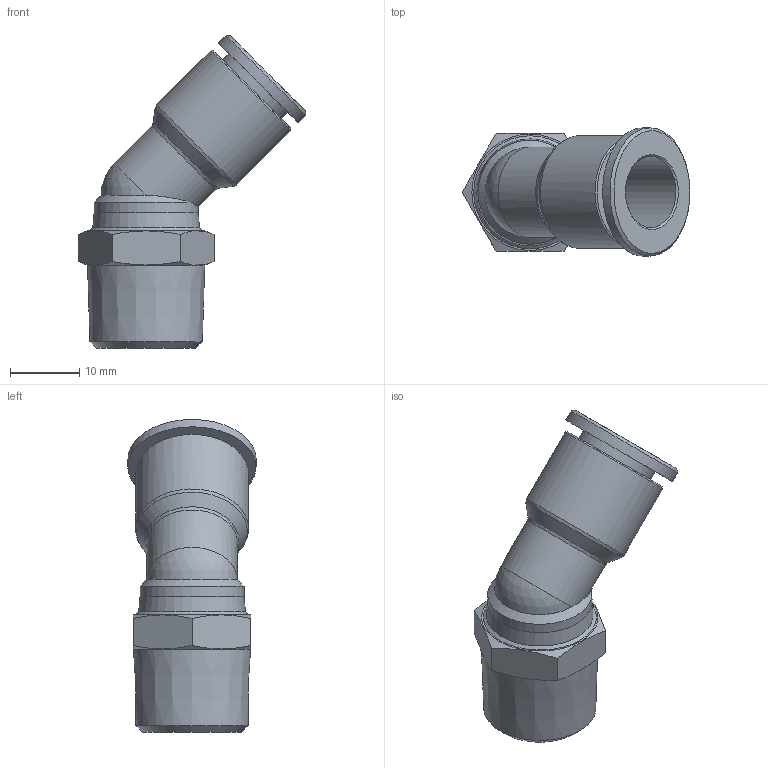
import cadquery as cq
import math

NUT_BOTTOM = 12.0
NUT_TOP = 17.0
ELBOW_HEIGHT = 22.1

STEM_TOP_DIAMETER = 16.9
STEM_TAPER = 1 / 16
STEM_CHAMFER = 1.0

NUT_FLATS = 17.0
NUT_CHAMFER_DROP = 0.55
NUT_TOP_RADIUS = 8.4
NUT_BOTTOM_RADIUS = 8.4

COLLAR_BASE_RADIUS = 8.15
COLLAR_BEVEL_RADIUS = 7.7
COLLAR_BEVEL_HEIGHT = 0.4
COLLAR_RADIUS = 7.5
COLLAR_CONE_TOP = 19.6
COLLAR_CHAMFER = 1.0

BRANCH_ANGLE = 45.0
PIPE_RADIUS = 6.5
SOCKET_RADIUS = 8.15
SHOULDER_START = 7.9
SHOULDER_END = 10.0
SHOULDER_FILLET = 0.8
SOCKET_END = 21.6
SOCKET_EDGE_CHAMFER = 0.2

COLLET_RADIUS = 6.0
FLANGE_START = 22.95
FLANGE_END = 24.85
FLANGE_LENGTH = 18.5
FLANGE_WIDTH = 16.3
FLANGE_CHAMFER = 0.4

BORE_RADIUS = 5.15
BORE_CHAMFER = 0.25
BORE_BOTTOM = SHOULDER_END


def turned(profile):
    """Revolve a closed list of (radius, height) points about Z."""
    return cq.Workplane("XZ").polyline(profile).close().revolve(360, (0, 0), (0, 1))


def make_stem():
    bottom_radius = (STEM_TOP_DIAMETER - STEM_TAPER * (NUT_BOTTOM - STEM_CHAMFER)) / 2
    return turned([
        (0, 0),
        (bottom_radius - STEM_CHAMFER, 0),
        (bottom_radius, STEM_CHAMFER),
        (STEM_TOP_DIAMETER / 2, NUT_BOTTOM),
        (0, NUT_BOTTOM),
    ])


def make_nut():
    corner_radius = NUT_FLATS / 2 / math.cos(math.radians(30))
    prism = (
        cq.Workplane("XY", origin=(0, 0, NUT_BOTTOM))
        .polygon(6, 2 * corner_radius)
        .extrude(NUT_TOP - NUT_BOTTOM)
    )
    chamfer_envelope = turned([
        (0, NUT_BOTTOM),
        (NUT_BOTTOM_RADIUS, NUT_BOTTOM),
        (corner_radius, NUT_BOTTOM + NUT_CHAMFER_DROP),
        (corner_radius, NUT_TOP - NUT_CHAMFER_DROP),
        (NUT_TOP_RADIUS, NUT_TOP),
        (0, NUT_TOP),
    ])
    return prism.intersect(chamfer_envelope)


def make_collar():
    return turned([
        (0, NUT_TOP),
        (COLLAR_BASE_RADIUS, NUT_TOP),
        (COLLAR_BEVEL_RADIUS, NUT_TOP + COLLAR_BEVEL_HEIGHT),
        (COLLAR_RADIUS, COLLAR_CONE_TOP),
        (COLLAR_RADIUS, ELBOW_HEIGHT - COLLAR_CHAMFER),
        (COLLAR_RADIUS - COLLAR_CHAMFER, ELBOW_HEIGHT),
        (0, ELBOW_HEIGHT),
    ])


def tilt(shape):
    """Move a shape built about Z at the origin onto the branch axis."""
    return shape.rotate((0, 0, 0), (0, 1, 0), BRANCH_ANGLE).translate((0, 0, ELBOW_HEIGHT))


def make_socket():
    socket = turned([
        (0, 0),
        (PIPE_RADIUS, 0),
        (PIPE_RADIUS, SHOULDER_START),
        (SOCKET_RADIUS, SHOULDER_END),
        (SOCKET_RADIUS, SOCKET_END),
        (0, SOCKET_END),
    ])
    shoulder_edges = cq.selectors.BoxSelector(
        (-FLANGE_LENGTH, -FLANGE_LENGTH, SHOULDER_START / 2),
        (FLANGE_LENGTH, FLANGE_LENGTH, SHOULDER_END + SHOULDER_FILLET),
        boundingbox=True,
    )
    socket = socket.edges("%CIRCLE").edges(shoulder_edges).fillet(SHOULDER_FILLET)
    return socket.faces(">Z").edges().chamfer(SOCKET_EDGE_CHAMFER)


def make_collet():
    neck = (
        cq.Workplane("XY", origin=(0, 0, SOCKET_END))
        .circle(COLLET_RADIUS)
        .extrude(FLANGE_END - SOCKET_END)
    )
    flange = (
        cq.Workplane("XY", origin=(0, 0, FLANGE_START))
        .ellipse(FLANGE_WIDTH / 2, FLANGE_LENGTH / 2)
        .extrude(FLANGE_END - FLANGE_START)
        .faces(">Z").edges().chamfer(FLANGE_CHAMFER)
    )
    return neck.union(flange)


def make_bore():
    return turned([
        (0, BORE_BOTTOM),
        (BORE_RADIUS, BORE_BOTTOM),
        (BORE_RADIUS, FLANGE_END - BORE_CHAMFER),
        (BORE_RADIUS + BORE_CHAMFER, FLANGE_END),
        (0, FLANGE_END),
    ])


elbow_ball = cq.Workplane("XY", origin=(0, 0, ELBOW_HEIGHT)).sphere(PIPE_RADIUS)
branch = tilt(make_socket().union(make_collet()))

result = make_stem().union(make_nut()).union(make_collar())
result = result.union(elbow_ball).union(branch).cut(tilt(make_bore()))